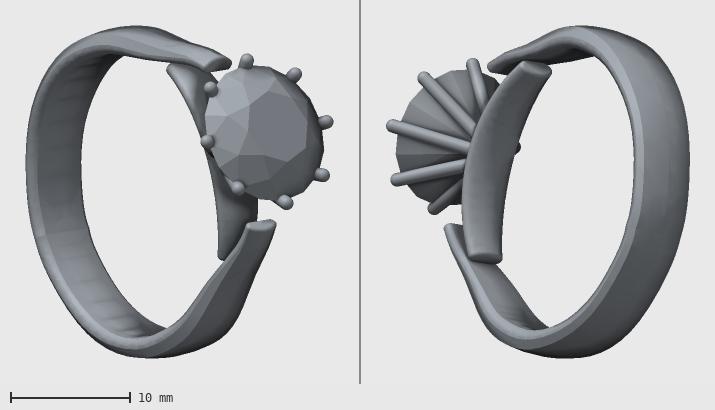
import cadquery as cq
import math


RISE_ANGLE = 31.1
TILT_ANGLE = 7.2

BAND_CROWN = 0.3
BAND_INSET = 0.37
BAND_SECTIONS = (
    (180.0, 12.32, 1.77, 2.7, 0.55),
    (165.0, 12.25, 1.77, 2.7, 0.55),
    (150.0, 12.2, 1.77, 2.75, 0.55),
    (135.0, 12.2, 1.8, 2.85, 0.57),
    (120.0, 12.15, 1.8, 2.95, 0.67),
    (105.0, 12.05, 1.95, 2.9, 0.77),
    (90.0, 11.9, 2.08, 2.8, 0.87),
    (75.0, 11.9, 2.05, 2.6, 0.9),
)
ARM_SECTIONS = (
    (5.75, 10.4, 62.0, 1.88, 2.35, 0.35, 0.85, 0.3),
    (8.67, 9.18, 60.0, 1.57, 1.98, 0.4, 0.65, 0.2),
    (11.22, 8.2, 60.0, 1.45, 1.67, 0.5, 0.35, 0.1),
    (13.0, 7.3, 57.0, 1.4, 1.55, 0.6, 0.15, 0.07),
    (14.15, 6.43, 54.0, 1.4, 1.5, 0.65, 0.1, 0.05),
)
CROWN_MID_PLACE = 0.55
CROWN_MID_FALL = 0.3
FOOT_INSET = 0.55
ROUND_MID_HEIGHT = 0.35
ROUND_MID_INSET = 0.12
END_ROUND = 0.3

BRIDGE_RADIUS = 12.6
BRIDGE_HALF_ANGLE = 42.0
BRIDGE_END_THICKNESS = 1.75
BRIDGE_MID_THICKNESS = 1.98
BRIDGE_END_WIDTH = 3.2
BRIDGE_MID_WIDTH = 4.5
BRIDGE_STEPS = 6

PRONG_COUNT = 8
PRONG_RADIUS = 0.57
PRONG_BASE_X = 12.85
PRONG_BASE_RADIUS = 1.4
PRONG_TIP_X = 18.55
PRONG_TIP_RADIUS = 6.25

STONE_SIDES = 8
GIRDLE_RADIUS = 5.95
GIRDLE_X = 18.2
TABLE_RADIUS = 3.1
TABLE_X = 20.23
STAR_RADIUS = 4.52
CULET_X = 13.05
PAVILION_RADIUS = 2.68
HALF_STEP = 180.0 / STONE_SIDES


def polar(radius, angle):
    """The two coordinates of a point at a radius and an angle in degrees."""
    return radius * math.cos(math.radians(angle)), radius * math.sin(math.radians(angle))


def section_plane(x, y, normal_angle):
    """A plane across a bar: its local x runs outward and its local y along the finger axis."""
    out_x, out_y = polar(1.0, normal_angle)
    return cq.Plane(origin=(x, y, 0), xDir=(out_x, out_y, 0), normal=(out_y, -out_x, 0))


def shank_section(x, y, normal_angle, thickness, half_width, crown, bevel, inset):
    """Closed outline of the shank: crowned outer face, bevels, rounded sides and a flat inner face."""
    edge_out = thickness - crown
    edge_half = half_width - inset
    side_out = edge_out - bevel
    foot_half = half_width - FOOT_INSET * side_out
    crown_out = thickness - CROWN_MID_FALL * crown
    crown_half = CROWN_MID_PLACE * edge_half
    round_out = ROUND_MID_HEIGHT * side_out
    round_half = half_width - ROUND_MID_INSET * side_out
    return (
        cq.Workplane(section_plane(x, y, normal_angle))
        .moveTo(thickness, 0)
        .threePointArc((crown_out, crown_half), (edge_out, edge_half))
        .lineTo(side_out, half_width)
        .threePointArc((round_out, round_half), (0, foot_half))
        .lineTo(0, -foot_half)
        .threePointArc((round_out, -round_half), (side_out, -half_width))
        .lineTo(edge_out, -edge_half)
        .threePointArc((crown_out, -crown_half), (thickness, 0))
        .close()
        .val()
    )


def make_half_shank():
    """One half of the shank, from the seam at its back to its free end."""
    sections = []
    for angle, inner_radius, thickness, half_width, bevel in BAND_SECTIONS:
        x, y = polar(inner_radius, angle)
        sections.append(shank_section(
            x, y, angle, thickness, half_width, BAND_CROWN, bevel, BAND_INSET))
    for arm_section in ARM_SECTIONS:
        sections.append(shank_section(*arm_section))
    return cq.Workplane(cq.Solid.makeLoft(sections)).faces("%PLANE").faces(">X").edges().fillet(END_ROUND)


def make_bridge():
    """A curved oval bar whose width and thickness fall away from the middle as parabolas."""
    sections = []
    for i in range(-BRIDGE_STEPS, BRIDGE_STEPS + 1):
        share = i / BRIDGE_STEPS
        angle = share * BRIDGE_HALF_ANGLE
        width = BRIDGE_MID_WIDTH - (BRIDGE_MID_WIDTH - BRIDGE_END_WIDTH) * share ** 2
        thickness = BRIDGE_MID_THICKNESS - (BRIDGE_MID_THICKNESS - BRIDGE_END_THICKNESS) * share ** 2
        plane = section_plane(*polar(BRIDGE_RADIUS, angle), angle)
        sections.append(cq.Workplane(plane).ellipse(thickness / 2, width / 2).val())
    return cq.Workplane(cq.Solid.makeLoft(sections)).faces("%PLANE").edges().fillet(END_ROUND)


def make_prong(angle):
    """A straight round wire from the bridge to beside the girdle, with a ball on its tip."""
    base = cq.Vector(PRONG_BASE_X, PRONG_BASE_RADIUS, 0)
    tip = cq.Vector(PRONG_TIP_X, PRONG_TIP_RADIUS, 0)
    axis = tip - base
    wire = cq.Workplane(cq.Solid.makeCylinder(PRONG_RADIUS, axis.Length, base, axis))
    ball = cq.Workplane("XY").sphere(PRONG_RADIUS).translate(tip)
    return wire.union(ball).rotate((0, 0, 0), (1, 0, 0), angle)


def ring_point(x, radius, angle):
    """A point of the stone at a height along its axis, a radius and an angle around the axis."""
    return cq.Vector(x, *polar(radius, angle))


def facet(*points):
    """A flat face with the given corners."""
    return cq.Face.makeFromWires(cq.Wire.makePolygon([*points, points[0]]))


def make_stone():
    """A round brilliant; star and pavilion corners lie in the planes of the main facets."""
    shrink = math.cos(math.radians(HALF_STEP))
    crown_slope = (TABLE_X - GIRDLE_X) / (GIRDLE_RADIUS - TABLE_RADIUS)
    star_x = TABLE_X - crown_slope * (STAR_RADIUS * shrink - TABLE_RADIUS)
    pavilion_slope = (GIRDLE_X - CULET_X) / GIRDLE_RADIUS
    pavilion_x = CULET_X + pavilion_slope * PAVILION_RADIUS * shrink
    culet = cq.Vector(CULET_X, 0, 0)
    facets = []
    table = []
    for i in range(STONE_SIDES):
        before, main, after, following = (2 * HALF_STEP * i + k * HALF_STEP for k in (-1, 0, 1, 2))
        corner = ring_point(TABLE_X, TABLE_RADIUS, main)
        next_corner = ring_point(TABLE_X, TABLE_RADIUS, following)
        star_before = ring_point(star_x, STAR_RADIUS, before)
        star = ring_point(star_x, STAR_RADIUS, after)
        girdle = ring_point(GIRDLE_X, GIRDLE_RADIUS, main)
        girdle_half = ring_point(GIRDLE_X, GIRDLE_RADIUS, after)
        next_girdle = ring_point(GIRDLE_X, GIRDLE_RADIUS, following)
        low_before = ring_point(pavilion_x, PAVILION_RADIUS, before)
        low = ring_point(pavilion_x, PAVILION_RADIUS, after)
        table.append(corner)
        facets += [
            facet(corner, star_before, girdle, star),
            facet(corner, star, next_corner),
            facet(star, girdle, girdle_half),
            facet(star, girdle_half, next_girdle),
            facet(culet, low_before, girdle, low),
            facet(low, girdle, girdle_half),
            facet(low, girdle_half, next_girdle),
        ]
    facets.append(facet(*table))
    return cq.Workplane(cq.Solid.makeSolid(cq.Shell.makeShell(facets)))


def place(body):
    """Turn a body from the building position into its final attitude."""
    return (
        body.rotate((0, 0, 0), (1, 0, 0), 90)
        .rotate((0, 0, 0), (0, 0, 1), TILT_ANGLE)
        .rotate((0, 0, 0), (0, 1, 0), -RISE_ANGLE)
    )


half_shank = make_half_shank()
metal = half_shank.union(half_shank.mirror("XZ")).union(make_bridge())
for i in range(PRONG_COUNT):
    metal = metal.union(make_prong(360.0 / PRONG_COUNT * i))
stone = make_stone().cut(metal)

result = cq.Compound.makeCompound([*place(metal).vals(), *place(stone).vals()])